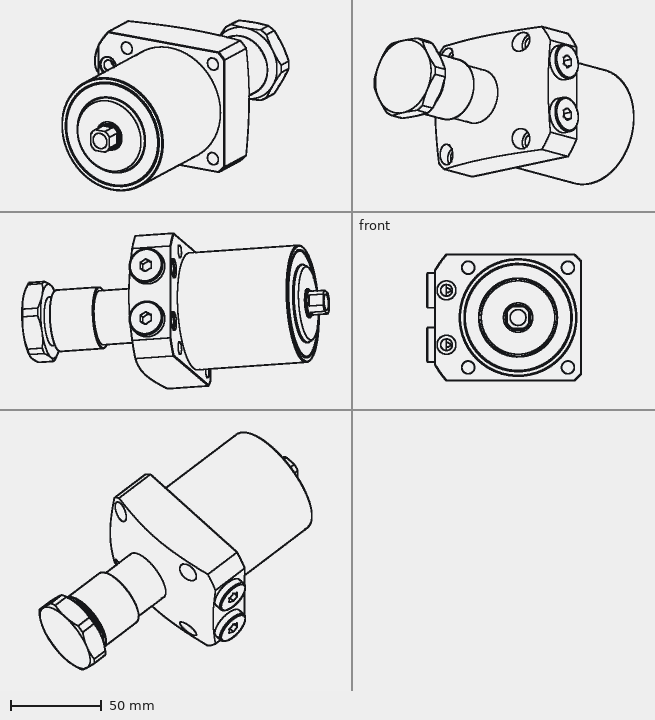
import cadquery as cq
import math


flange_right = 35.0
flange_left = 46.0
flange_half_height = 35.0
flange_back = 31.1
left_corner_radius = 52.9
right_corner_radius = 46.8
flange_edge_chamfer = 0.3
dome_flat_radius = 19.6
dome_angle = 15
mount_hole_diameter = 7.0
mount_hole_offset = 27.5
mount_head_diameter = 11.0
mount_head_seat = 18.6

barrel_radius = 32.5
barrel_front = -63.0
barrel_chamfer = 0.5

port_z = 15.0
port_y = 13.0
port_diameter = 8.8
front_port_x = -39.5
front_port_diameter = 6.5
front_recess_diameter = 10.5
front_recess_depth = 1.0
drill_tip_angle = 118
duct_diameter = 2.7
duct_length = 5
plug_head_diameter = 19.3
plug_head_height = 4.5
plug_chamfer = 0.7
plug_shank_length = 2.5
plug_socket_flats = 6.0
plug_socket_depth = 5

cover_radius = 29.9
cover_thickness = 8.5
cover_chamfer = 0.7
boss_radius = 21.8
boss_height = 3.0
boss_tip_radius = 21.0
boss_groove_radius = 21.3
boss_groove_width = 0.8
boss_chamfer = 0.7
countersink_radius = 8.1
countersink_depth = 1.4

spindle_front = -76.2
spindle_radius = 6.8
spindle_flats = 12.0
collar_radius = 7.1
collar_height = 1.0
flats_gap = 1.0
spindle_bore_diameter = 8.8
spindle_bore_depth = 13.5

rod_radius = 15.0
sleeve_radius = 17.0
sleeve_front = 52.9
sleeve_back = 77.9
sleeve_chamfer = 0.3
hex_flats = 41.0
hex_corner_diameter = 45.1
hex_front = 82.0
hex_back = 92.8
hex_chamfer_angle = 30
hex_turn_angle = 30
neck_radius = 13.0
neck_flare_radius = 13.5
neck_straight = 1.0

cover_back = barrel_front + cover_thickness
boss_front = barrel_front - boss_height


def revolved(points):
    """Solid of revolution about the Y axis from (radius, y) points."""
    return cq.Workplane("XY").polyline(points).close().revolve(360, (0, 0), (0, 1))


def bar(radius, y_front, y_back):
    """Round bar on the Y axis."""
    return cq.Workplane("XZ", origin=(0, y_front, 0)).circle(radius).extrude(y_front - y_back)


def flange_half(side, width, corner_radius):
    """Plate from the axis out to x = side * width, with its two corners turned to a radius."""
    plate = (
        cq.Workplane("XZ")
        .center(side * width / 2, 0)
        .rect(width, 2 * flange_half_height)
        .extrude(-flange_back)
    )
    return plate.intersect(bar(corner_radius, 0, flange_back))


def flange():
    """Plate with a conical back and four through holes, recessed at the back for screw heads."""
    left = flange_half(-1, flange_left, left_corner_radius)
    right = flange_half(1, flange_right, right_corner_radius)
    plate = left.union(right).clean().faces("<Y").chamfer(flange_edge_chamfer)
    dome_edge_y = flange_back - (left_corner_radius - dome_flat_radius) * math.tan(math.radians(dome_angle))
    dome = revolved([
        (0, 0),
        (left_corner_radius, 0),
        (left_corner_radius, dome_edge_y),
        (dome_flat_radius, flange_back),
        (0, flange_back),
    ])
    offsets = (-mount_hole_offset, mount_hole_offset)
    corners = [(x, z) for x in offsets for z in offsets]
    holes = cq.Workplane("XZ").pushPoints(corners).circle(mount_hole_diameter / 2).extrude(-flange_back)
    head_recesses = (
        cq.Workplane("XZ", origin=(0, mount_head_seat, 0))
        .pushPoints(corners)
        .circle(mount_head_diameter / 2)
        .extrude(mount_head_seat - flange_back)
    )
    return plate.intersect(dome).cut(holes).cut(head_recesses)


def side_bore(diameter, x_start, x_end, z):
    """Cylinder along X at the port height."""
    return cq.Workplane("YZ", origin=(x_start, port_y, z)).circle(diameter / 2).extrude(x_end - x_start)


def port_tools(z):
    """Side port, its duct and the front port that opens into both."""
    side = side_bore(port_diameter, -flange_left, front_port_x, z)
    duct = side_bore(duct_diameter, front_port_x, front_port_x + duct_length, z)
    radius = front_port_diameter / 2
    tip = radius / math.tan(math.radians(drill_tip_angle / 2))
    front = (
        cq.Workplane("XY", origin=(front_port_x, 0, z))
        .polyline([
            (0, 0),
            (front_recess_diameter / 2, 0),
            (front_recess_diameter / 2, front_recess_depth),
            (radius, front_recess_depth),
            (radius, port_y - tip),
            (0, port_y),
        ])
        .close()
        .revolve(360, (0, 0), (0, 1))
    )
    return side.union(duct).union(front)


def make_housing():
    """Flange and barrel in one piece, bored for the cover, the rod and the ports."""
    barrel = bar(barrel_radius, barrel_front, 0).faces("<Y").chamfer(barrel_chamfer)
    body = flange().union(barrel)
    body = body.cut(bar(cover_radius, barrel_front, cover_back))
    body = body.cut(bar(rod_radius, cover_back, flange_back))
    for z in (-port_z, port_z):
        body = body.cut(port_tools(z))
    return body


def make_plug(z):
    """Port plug: chamfered head with a hexagon socket, and a shank in the side port."""
    head_x = -flange_left - plug_head_height
    head = side_bore(plug_head_diameter, head_x, -flange_left, z).faces("<X").chamfer(plug_chamfer)
    shank = side_bore(port_diameter, -flange_left, -flange_left + plug_shank_length, z)
    socket = (
        cq.Workplane("YZ", origin=(head_x, port_y, z))
        .polygon(6, plug_socket_flats, circumscribed=True)
        .extrude(plug_socket_depth)
    )
    return head.union(shank).cut(socket)


def make_cover():
    """Cover flush with the barrel, its boss standing on a narrow groove."""
    groove_y = barrel_front - boss_groove_width
    return revolved([
        (spindle_radius, cover_back),
        (cover_radius, cover_back),
        (cover_radius, barrel_front + cover_chamfer),
        (cover_radius - cover_chamfer, barrel_front),
        (boss_groove_radius, barrel_front),
        (boss_groove_radius, groove_y),
        (boss_radius, groove_y),
        (boss_tip_radius, boss_front + boss_chamfer),
        (boss_tip_radius - boss_chamfer, boss_front),
        (countersink_radius, boss_front),
        (spindle_radius, boss_front + countersink_depth),
    ])


def make_spindle():
    """Spindle with a round collar on the cover, four flats and a bore in its end."""
    collar_front = boss_front - collar_height
    spindle = revolved([
        (0, cover_back),
        (spindle_radius, cover_back),
        (spindle_radius, boss_front),
        (collar_radius, boss_front),
        (collar_radius, collar_front),
        (spindle_radius, collar_front),
        (spindle_radius, spindle_front),
        (0, spindle_front),
    ])
    flats_back = collar_front - flats_gap
    flats_length = flats_back - spindle_front
    flats_stock = (
        cq.Workplane("XZ", origin=(0, flats_back, 0))
        .rect(2 * spindle_radius, 2 * spindle_radius)
        .rect(spindle_flats, spindle_flats)
        .extrude(flats_length)
    )
    bore = bar(spindle_bore_diameter / 2, spindle_front, spindle_front + spindle_bore_depth)
    return spindle.cut(flats_stock).cut(bore)


def make_rod():
    """Rod from the cover through the flange to the hexagon head."""
    return bar(rod_radius, cover_back, sleeve_back)


def make_sleeve():
    """Sleeve around the back end of the rod."""
    sleeve = bar(sleeve_radius, sleeve_front, sleeve_back).faces("<Y or >Y").chamfer(sleeve_chamfer)
    return sleeve.cut(bar(rod_radius, sleeve_front, sleeve_back))


def make_hex_head():
    """Hexagon head with turned corners, chamfered at both ends, on a flared neck."""
    corner_radius = hex_corner_diameter / 2
    end_radius = hex_flats / 2
    chamfer_depth = (corner_radius - end_radius) * math.tan(math.radians(hex_chamfer_angle))
    hexagon = (
        cq.Workplane("XZ", origin=(0, hex_front, 0))
        .transformed(rotate=(0, 0, hex_turn_angle))
        .polygon(6, hex_flats, circumscribed=True)
        .extrude(hex_front - hex_back)
    )
    turned = revolved([
        (0, hex_front),
        (end_radius, hex_front),
        (corner_radius, hex_front + chamfer_depth),
        (corner_radius, hex_back - chamfer_depth),
        (end_radius, hex_back),
        (0, hex_back),
    ])
    neck = revolved([
        (0, sleeve_back),
        (neck_radius, sleeve_back),
        (neck_radius, sleeve_back + neck_straight),
        (neck_flare_radius, hex_front),
        (0, hex_front),
    ])
    return hexagon.intersect(turned).union(neck)


housing = make_housing()
plugs = [make_plug(z) for z in (-port_z, port_z)]
cover = make_cover()
spindle = make_spindle()
rod = make_rod()
sleeve = make_sleeve()
hex_head = make_hex_head()

result = cq.Compound.makeCompound([
    housing.val(),
    *[plug.val() for plug in plugs],
    cover.val(),
    spindle.val(),
    rod.val(),
    sleeve.val(),
    hex_head.val(),
])